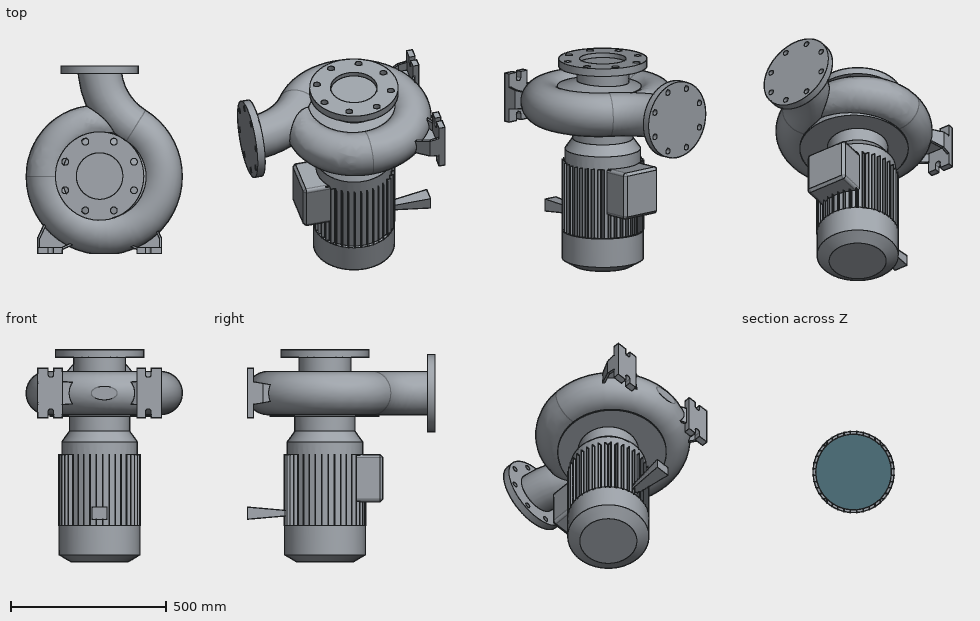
import cadquery as cq
import math

TUBE_R = 70.0
RING_R = 182.0
OUTER_R = RING_R + TUBE_R
VOLUTE_X = 15.0
VOLUTE_Y = -1.5
TAIL_START = 180.0
TAIL_SPAN = 120.0
TAIL_STEPS = 4
TAIL_OUTER_DROP = 44.0
TAIL_TUBE_DROP = TAIL_OUTER_DROP / 2
OUTLET_START = 58.0
HUB_R = 175.0
HUB_RIM_Z = 41.0
HUB_SLOPE = 15.0
BACK_Z = -75.0

FLANGE_T = 25.0
SUCTION_TOP = 140.0
SUCTION_D = 285.0
SUCTION_BOLT_CIRCLE = 240.0
SUCTION_HOLE_D = 22.0
SUCTION_NECK_R = 84.0
SUCTION_BORE_D = 150.0
SUCTION_BORE_DEPTH = 15.0
OUTLET_FACE_Y = 355.0
OUTLET_D = 250.0
OUTLET_BOLT_CIRCLE = 210.0
OUTLET_HOLE_D = 18.0
FLANGE_HOLES = 8

BEARING_R = 97.5
BODY_R = 122.0
COVER_R = 131.0
FIN_R = 132.0
FIN_T = 2.0
FIN_ROOT_R = 80.0
FINS_PER_SIDE = 10
FIN_PITCH = 90.0 / FINS_PER_SIDE
CONE_TOP = -123.0
CONE_BOTTOM = -157.0
FIN_TOP = -198.0
FIN_BOTTOM = -427.0
COVER_EDGE = -521.0
MOTOR_BOTTOM = -544.0
COVER_END_R = 92.0

BOX_W = 145.0
BOX_Y = 186.5
BOX_TOP = FIN_TOP
BOX_H = 153.0
BOX_FILLET = 10.0
BOX_CHAMFER = 9.0
LUG_W = 48.0
LUG_H = 40.0
LUG_Z = -387.0
LUG_LENGTH = 150.0
LUG_TAPER = 5.0

FOOT_Y = -250.0
FOOT_T = 20.0
FOOT_OUTER_X = 200.0
FOOT_W = 80.0
FOOT_H = 160.0
SLOT_X = 157.0
SLOT_W = 18.0
SLOT_CENTRE_Z = 60.0
RIB_T = 7.0
RIB_LEAN = 25.0
RIB_TAPER = 10.0
RIB_BEND_Y = -200.0
RIB_INNER_Y = -237.0
RIB_REACH = 70.0
RIB_BASE_H = 80.0
WEB_T = 7.0


def cylinder(radius, z_low, z_high):
    """Cylinder about the shaft axis."""
    return cq.Workplane("XY", origin=(0, 0, z_low)).circle(radius).extrude(z_high - z_low)


def flange(plane, diameter, bolt_circle, hole_d):
    """Disc with evenly spaced bolt holes straddling the main axes."""
    half_step = 180.0 / FLANGE_HOLES
    return (
        cq.Workplane(plane)
        .circle(diameter / 2)
        .extrude(-FLANGE_T)
        .polarArray(bolt_circle / 2, half_step, 360, FLANGE_HOLES)
        .circle(hole_d / 2)
        .cutThruAll()
    )


def volute_point(radius, angle):
    """X and Y of a point given by polar coordinates about the volute axis."""
    a = math.radians(angle)
    return VOLUTE_X + radius * math.cos(a), VOLUTE_Y + radius * math.sin(a)


def volute_section(radius, angle):
    """Plane across the passage at an angle around the volute axis."""
    x, y = volute_point(radius, angle)
    a = math.radians(angle)
    outward = (math.cos(a), math.sin(a), 0)
    along = (-math.sin(a), math.cos(a), 0)
    return cq.Plane(origin=(x, y, 0), xDir=outward, normal=along)


def make_ring():
    """Constant-section passage from the tail start round to the outlet bend."""
    start = volute_section(RING_R, TAIL_START)
    sweep_angle = 360.0 - TAIL_START + OUTLET_START
    return cq.Workplane(start).circle(TUBE_R).revolve(sweep_angle, (-RING_R, 1), (-RING_R, -1))


def make_tail():
    """Passage that narrows from the left side of the ring into the outlet."""
    wires = []
    for step in range(TAIL_STEPS + 1):
        fraction = step / TAIL_STEPS
        tube_r = TUBE_R - TAIL_TUBE_DROP * fraction**2
        centre_r = OUTER_R - TAIL_OUTER_DROP * fraction**2 - tube_r
        plane = volute_section(centre_r, TAIL_START - TAIL_SPAN * fraction)
        wires.append(cq.Workplane(plane).circle(tube_r).wires().val())
    return cq.Workplane(cq.Solid.makeLoft(wires))


def outlet_plane(y):
    return cq.Plane(origin=(0, y, 0), xDir=(-1, 0, 0), normal=(0, 1, 0))


def make_outlet():
    """Bend that turns the flow to +Y on the shaft centre line, with its flange."""
    x, y = volute_point(RING_R, OUTLET_START)
    a = math.radians(OUTLET_START)
    bend_r = x / (1 - math.cos(a))
    bend_end_y = y + bend_r * math.sin(a)
    section = volute_section(RING_R, OUTLET_START)
    bend = cq.Workplane(section).circle(TUBE_R).revolve(OUTLET_START, (bend_r, -1), (bend_r, 1))
    stub = cq.Workplane(outlet_plane(bend_end_y)).circle(TUBE_R).extrude(OUTLET_FACE_Y - bend_end_y)
    rim = flange(outlet_plane(OUTLET_FACE_Y), OUTLET_D, OUTLET_BOLT_CIRCLE, OUTLET_HOLE_D)
    return bend.union(stub).union(rim)


def make_hub():
    """Disc filling the volute, with a back plate below and a shallow cone on top."""
    peak_z = HUB_RIM_Z + HUB_R * math.tan(math.radians(HUB_SLOPE))
    profile = [(0, BACK_Z), (HUB_R, BACK_Z), (HUB_R, HUB_RIM_Z), (0, peak_z)]
    hub = cq.Workplane("XZ").polyline(profile).close().revolve(360, (0, 0), (0, 1))
    return hub.translate((VOLUTE_X, VOLUTE_Y, 0))


def make_suction():
    """Neck and flange on the shaft axis; the recess is cut from the whole casing."""
    top = cq.Plane(origin=(0, 0, SUCTION_TOP))
    neck = cylinder(SUCTION_NECK_R, 0, SUCTION_TOP - FLANGE_T)
    return neck.union(flange(top, SUCTION_D, SUCTION_BOLT_CIRCLE, SUCTION_HOLE_D))


def make_motor():
    """Bearing housing, finned-body core and end cover as one turned shape."""
    profile = [
        (0, BACK_Z),
        (BEARING_R, BACK_Z),
        (BEARING_R, CONE_TOP),
        (BODY_R, CONE_BOTTOM),
        (BODY_R, FIN_BOTTOM),
        (COVER_R, FIN_BOTTOM),
        (COVER_R, COVER_EDGE),
        (COVER_END_R, MOTOR_BOTTOM),
        (0, MOTOR_BOTTOM),
    ]
    return cq.Workplane("XZ").polyline(profile).close().revolve(360, (0, 0), (0, 1))


def make_fins():
    """Four groups of fins, parallel within a group, trimmed to a common radius."""
    height = FIN_TOP - FIN_BOTTOM
    offsets = []
    for i in range(FINS_PER_SIDE):
        angle = (i - (FINS_PER_SIDE - 1) / 2) * FIN_PITCH
        offsets.append(((FIN_ROOT_R + FIN_R) / 2, FIN_R * math.sin(math.radians(angle))))
    group = (
        cq.Workplane("XY", origin=(0, 0, FIN_BOTTOM))
        .pushPoints(offsets)
        .rect(FIN_R - FIN_ROOT_R, FIN_T)
        .extrude(height)
        .intersect(cylinder(FIN_R, FIN_BOTTOM, FIN_TOP))
    )
    fins = group
    for turn in (90, 180, 270):
        fins = fins.union(group.rotate((0, 0, 0), (0, 0, 1), turn))
    return fins


def make_terminal_box():
    """Box on the +Y side of the motor, rounded along its depth, chamfered on its face."""
    return (
        cq.Workplane("XY", origin=(0, 0, BOX_TOP - BOX_H))
        .center(0, BOX_Y / 2)
        .box(BOX_W, BOX_Y, BOX_H, centered=(True, True, False))
        .edges("|Y")
        .fillet(BOX_FILLET)
        .faces(">Y")
        .chamfer(BOX_CHAMFER)
    )


def make_lug():
    """Tapered block reaching from the motor to the foot plane."""
    return (
        cq.Workplane("XZ", origin=(0, FOOT_Y, LUG_Z))
        .rect(LUG_W, LUG_H)
        .extrude(-LUG_LENGTH, taper=LUG_TAPER)
    )


def make_right_foot():
    """Slotted mounting plate on the +X side with its bracket."""
    plate = (
        cq.Workplane("XZ", origin=(FOOT_OUTER_X - FOOT_W / 2, FOOT_Y, 0))
        .rect(FOOT_W, FOOT_H)
        .extrude(-FOOT_T)
    )
    slot_length = 2 * (FOOT_H / 2 - SLOT_CENTRE_Z) + SLOT_W
    slots = (
        cq.Workplane("XZ", origin=(SLOT_X, FOOT_Y, 0))
        .pushPoints([(0, FOOT_H / 2), (0, -FOOT_H / 2)])
        .slot2D(slot_length, SLOT_W, 90)
        .extrude(-FOOT_T)
    )
    return plate.cut(slots).union(make_right_bracket())


def make_right_bracket():
    """Leaning ribs joined by a thin web at mid-height, running into the volute."""
    rib_sin = RIB_REACH * math.sin(math.radians(RIB_LEAN))
    rib_cos = RIB_REACH * math.cos(math.radians(RIB_LEAN))
    inner_x = FOOT_OUTER_X - FOOT_W
    outline = [
        (FOOT_OUTER_X, FOOT_Y),
        (FOOT_OUTER_X, RIB_BEND_Y),
        (FOOT_OUTER_X - rib_sin, RIB_BEND_Y + rib_cos),
        (inner_x - rib_cos, RIB_INNER_Y + rib_sin),
        (inner_x, RIB_INNER_Y),
        (inner_x, FOOT_Y),
    ]
    block = cq.Workplane("XY").polyline(outline).close().extrude(RIB_BASE_H / 2, both=True)
    inside = cq.Workplane("XY").polyline(outline).close().offset2D(-RIB_T, "intersection")
    pocket = inside.extrude(RIB_BASE_H / 2, both=True)
    web = cq.Workplane("XY").polyline(outline).close().extrude(WEB_T / 2, both=True)
    bracket = block.cut(pocket).union(web)

    depth = RIB_BEND_Y + rib_cos - FOOT_Y
    base_half = RIB_BASE_H / 2
    end_half = base_half - depth * math.tan(math.radians(RIB_TAPER))
    wedge = (
        cq.Workplane("YZ")
        .polyline([
            (FOOT_Y, -base_half),
            (FOOT_Y + depth, -end_half),
            (FOOT_Y + depth, end_half),
            (FOOT_Y, base_half),
        ])
        .close()
        .extrude(FOOT_OUTER_X)
    )
    return bracket.intersect(wedge)


def make_casing():
    """Volute with hub and suction neck, trimmed flush with the foot plane."""
    casing = make_ring().union(make_tail()).union(make_outlet()).union(make_hub()).union(make_suction())
    trim = cq.Workplane("XY").box(2 * OUTER_R, OUTER_R, 2 * OUTER_R)
    below_feet = trim.translate((0, FOOT_Y - OUTER_R / 2, 0))
    bore = cylinder(SUCTION_BORE_D / 2, SUCTION_TOP - SUCTION_BORE_DEPTH, SUCTION_TOP)
    return casing.cut(below_feet).cut(bore)


casing = make_casing()
right_foot = make_right_foot()
feet = right_foot.union(right_foot.mirror("YZ"))
motor = make_motor().union(make_fins()).union(make_terminal_box()).union(make_lug())
result = casing.union(feet).union(motor)